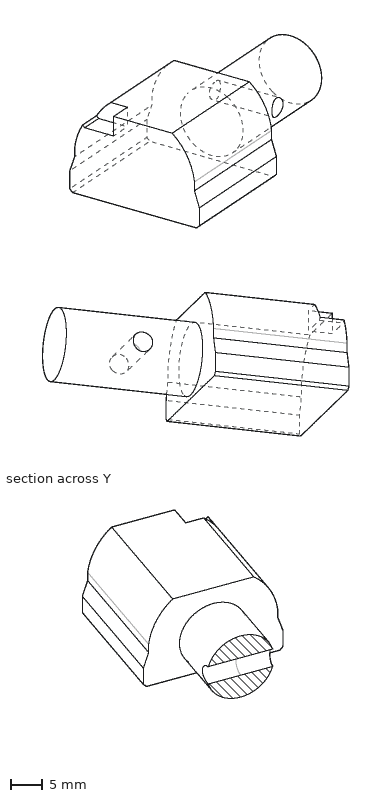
import cadquery as cq
import math

total_length = 45.7
block_length = 22.6
block_width = 24.85
block_height = 15.68
bottom_chamfer = 0.55
side_height = 3.75
waist_width = 23.0
waist_height = 6.55
shoulder_height = 8.15
shoulder_radius = 11.3
top_width = 14.45

notch_wall_x = -4.0
notch_length = 4.05
notch_depth = 3.47
notch_lip_x = -9.55

shank_diameter = 12.0
shank_axis_height = 6.63
cross_hole_diameter = 3.3
cross_hole_from_end = 13.0

shank_length = total_length - block_length


def shoulder_midpoint():
    """Middle of the right shoulder arc, from its chord and radius."""
    inset = (waist_width - top_width) / 2
    rise = block_height - shoulder_height
    chord = math.hypot(inset, rise)
    bulge = shoulder_radius - math.sqrt(shoulder_radius**2 - (chord / 2) ** 2)
    return (
        (waist_width + top_width) / 4 + bulge * rise / chord,
        (shoulder_height + block_height) / 2 + bulge * inset / chord,
    )


def make_notch_cutter():
    floor = block_height - notch_depth
    outer_x = -block_width / 2
    lip_top = floor + notch_lip_x - outer_x
    return (
        cq.Workplane("XZ")
        .moveTo(notch_wall_x, block_height)
        .lineTo(notch_wall_x, floor)
        .lineTo(notch_lip_x, floor)
        .lineTo(outer_x, lip_top)
        .lineTo(outer_x, block_height)
        .close()
        .extrude(-notch_length)
    )


def make_block():
    half_base = block_width / 2
    half_bottom = half_base - bottom_chamfer
    half_waist = waist_width / 2
    half_top = top_width / 2
    mid_x, mid_z = shoulder_midpoint()
    body = (
        cq.Workplane("XZ")
        .moveTo(-half_bottom, 0)
        .lineTo(half_bottom, 0)
        .lineTo(half_base, bottom_chamfer)
        .lineTo(half_base, side_height)
        .lineTo(half_waist, waist_height)
        .lineTo(half_waist, shoulder_height)
        .threePointArc((mid_x, mid_z), (half_top, block_height))
        .lineTo(-half_top, block_height)
        .threePointArc((-mid_x, mid_z), (-half_waist, shoulder_height))
        .lineTo(-half_waist, waist_height)
        .lineTo(-half_base, side_height)
        .lineTo(-half_base, bottom_chamfer)
        .close()
        .extrude(-block_length)
    )
    return body.cut(make_notch_cutter())


def make_shank():
    """Round shank butted against the back of the block, drilled through along X."""
    shank = (
        cq.Workplane("XZ", origin=(0, block_length, shank_axis_height))
        .circle(shank_diameter / 2)
        .extrude(-shank_length)
    )
    cross_hole = (
        cq.Workplane("YZ", origin=(0, total_length - cross_hole_from_end, shank_axis_height))
        .circle(cross_hole_diameter / 2)
        .extrude(shank_diameter, both=True)
    )
    return shank.cut(cross_hole)


block = make_block()
shank = make_shank()
result = cq.Compound.makeCompound([block.val(), shank.val()])